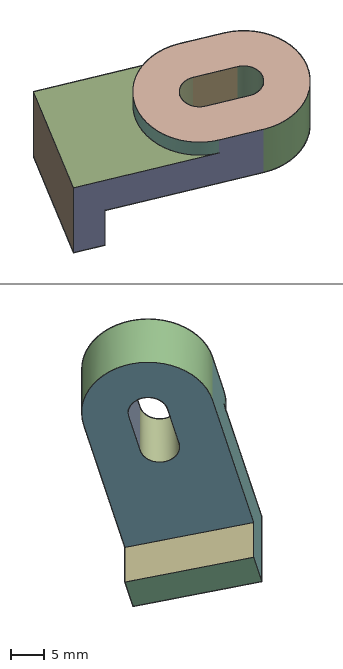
import cadquery as cq

width = 20.0
length = 40.0
arm_thickness = 7.0
pad_rise = 3.0
leg_thickness = 5.0
leg_drop = 8.0
slot_width = 6.0
slot_travel = 7.0

arm_end_y = length - width / 2
slot_center_y = arm_end_y - slot_travel / 2
pad_top = arm_thickness + pad_rise


def slot_prism(prism_width, height):
    """Upright prism with semicircular ends, concentric with the slot."""
    return (
        cq.Workplane("XY")
        .center(0, slot_center_y)
        .slot2D(slot_travel + prism_width, prism_width, 90)
        .extrude(height)
    )


def front_block(depth, bottom, top):
    """Full-width block running back from the leg's outer face."""
    return cq.Workplane("XY", origin=(0, depth / 2, bottom)).rect(width, depth).extrude(top - bottom)


arm = front_block(arm_end_y, 0, arm_thickness)
leg = front_block(leg_thickness, -leg_drop, arm_thickness)
pad = slot_prism(width, pad_top)
slot = slot_prism(slot_width, pad_top)

result = arm.union(leg).union(pad).cut(slot)